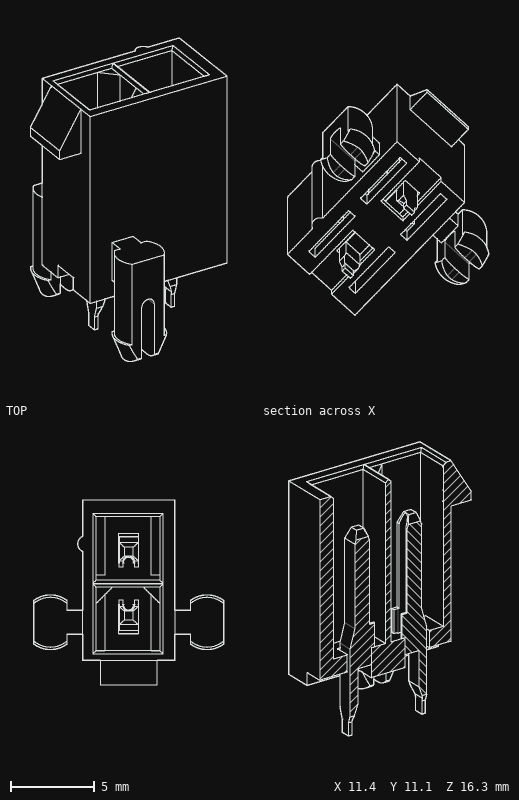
import cadquery as cq
import math


HOUSING_WIDTH = 5.55
HOUSING_FRONT = -4.6
HOUSING_REAR = 5.02
HOUSING_HEIGHT = 12.81
FLOOR_TOP = 2.0

INTERIOR_X = -0.05
CAVITY_WIDTH = 3.81
CAVITY_END = 4.01
DIVIDER_HALF = 0.21
RIM_BEVEL = 0.2
GUSSET_LEG = 0.98

FLOOR_WIDTH = 2.77
SLOT_NEAR = 0.52
NOTCH_WIDTH = 1.8
NOTCH_HEIGHT = 0.85
HOLE_X = -0.02
HOLE_WIDTH = 1.17
HOLE_NEAR = 1.24
HOLE_FAR = 3.0
TONGUE_BOTTOM = 1.3
TONGUE_RADIUS = 0.3

RIB_Y = 2.38
RIB_WIDTH = 0.9
RIB_HEIGHT = 0.3
LATCH_WIDTH = 3.39
LATCH_REACH = 1.48
LATCH_BOTTOM = 9.78
LATCH_NOSE_TOP = 10.38

PEG_X = 4.7
PEG_Y = -2.31
PEG_TOP = 3.73
PEG_BOTTOM = -3.26
PEG_RADIUS = 1.5
PEG_THICKNESS = 2.0
ARM_DEPTH = 1.47
ARM_BOTTOM = 1.12
BARB_TOP = -1.78
BARB_RADIUS = 1.65
BARB_TIP_RADIUS = 1.1
BARB_ROUND_START = -2.89
BARB_FLAT = 0.36
PEG_SLOT_WIDTH = 0.88
PEG_SLOT_TOP = 1.01

CONTACT_WIDTH = 1.14
CONTACT_TOP = 9.95
BLADE_NEAR = 1.37
BLADE_FAR = 2.46
LEAD_IN_HEIGHT = 0.77
TIP_SIZE = 0.54
PRONG_NEAR = 1.0
PRONG_TOP = 3.59
JOG_HEIGHT = 1.25
GROOVE_RADIUS = 0.36
GROOVE_Y = 1.29
LEG_NEAR = 2.22
LEG_FAR = 2.82
LEG_BOTTOM = -3.49
LEG_TIP_DEPTH = 0.26
LEG_TIP_WIDTH = 0.67
DEPTH_TAPER_TOP = -1.52
DEPTH_TAPER_BOTTOM = -2.41
WIDTH_TAPER_TOP = -1.89
WIDTH_TAPER_BOTTOM = -2.6


def block(x_range, y_range, z_range):
    """Box between two limits on each axis."""
    sizes = [high - low for low, high in (x_range, y_range, z_range)]
    corner = (x_range[0], y_range[0], z_range[0])
    return cq.Workplane("XY").box(*sizes, centered=False).translate(corner)


def centred(middle, width):
    """Limits of a span of the given width about a middle."""
    return (middle - width / 2, middle + width / 2)


def y_side(near, far, side):
    """Y limits of a span at the given distances from the mid plane."""
    return tuple(sorted((side * near, side * far)))



def cavity(side):
    """Contact cavity with a 45 degree bevel around its mouth."""
    y_range = y_side(DIVIDER_HALF, CAVITY_END, side)
    length = CAVITY_END - DIVIDER_HALF
    well = block(centred(INTERIOR_X, CAVITY_WIDTH), y_range, (FLOOR_TOP, HOUSING_HEIGHT))
    mouth = (
        cq.Workplane("XY", origin=(INTERIOR_X, sum(y_range) / 2, HOUSING_HEIGHT))
        .rect(CAVITY_WIDTH + 2 * RIM_BEVEL, length + 2 * RIM_BEVEL)
        .extrude(-RIM_BEVEL, taper=45)
    )
    return well.union(mouth)


def gusset(side):
    """Triangular corner fill between the divider and a side wall of the front cavity."""
    corner_x = INTERIOR_X + side * CAVITY_WIDTH / 2
    corner_y = -DIVIDER_HALF
    return (
        cq.Workplane("XY")
        .moveTo(corner_x, corner_y)
        .lineTo(corner_x - side * GUSSET_LEG, corner_y)
        .lineTo(corner_x, corner_y - GUSSET_LEG)
        .close()
        .extrude(HOUSING_HEIGHT - RIM_BEVEL)
    )


def side_slots(side):
    """Slots through the floor along both side walls of a cavity."""
    y_range = y_side(SLOT_NEAR, CAVITY_END, side)
    full = block(centred(INTERIOR_X, CAVITY_WIDTH), y_range, (0, FLOOR_TOP))
    return full.cut(block(centred(INTERIOR_X, FLOOR_WIDTH), y_range, (0, FLOOR_TOP)))


def contact_hole(side):
    """Hole through the floor, leaving a round-nosed tongue that enters the contact groove."""
    hole = block(centred(HOLE_X, HOLE_WIDTH), y_side(HOLE_NEAR, HOLE_FAR, side), (0, FLOOR_TOP))
    z_range = (TONGUE_BOTTOM, FLOOR_TOP)
    tongue = block(centred(HOLE_X, 2 * TONGUE_RADIUS), y_side(HOLE_NEAR, GROOVE_Y, side), z_range)
    nose = (
        cq.Workplane("XY", origin=(HOLE_X, side * GROOVE_Y, TONGUE_BOTTOM))
        .circle(TONGUE_RADIUS)
        .extrude(FLOOR_TOP - TONGUE_BOTTOM)
    )
    return hole.cut(tongue.union(nose))


def leg_notch(side):
    """Notch in the bottom edge of an end wall, reaching in around the contact leg."""
    wall = HOUSING_REAR if side > 0 else -HOUSING_FRONT
    return block(centred(INTERIOR_X, NOTCH_WIDTH), y_side(HOLE_NEAR, wall, side), (0, NOTCH_HEIGHT))


def key_rib():
    """Full-height rib on the -X wall, a circular segment in section."""
    wall_x = -HOUSING_WIDTH / 2
    return (
        cq.Workplane("XY")
        .moveTo(wall_x, RIB_Y - RIB_WIDTH / 2)
        .threePointArc((wall_x - RIB_HEIGHT, RIB_Y), (wall_x, RIB_Y + RIB_WIDTH / 2))
        .close()
        .extrude(HOUSING_HEIGHT)
    )


def latch():
    """Ramped catch at the top of the -Y wall."""
    nose_y = HOUSING_FRONT - LATCH_REACH
    profile = [
        (HOUSING_FRONT, LATCH_BOTTOM),
        (nose_y, LATCH_BOTTOM),
        (nose_y, LATCH_NOSE_TOP),
        (HOUSING_FRONT, HOUSING_HEIGHT),
    ]
    return cq.Workplane("YZ").polyline(profile).close().extrude(LATCH_WIDTH / 2, both=True)


def peg_barb():
    """Conical barb whose bottom is rounded off towards the peg's two flat sides."""
    half = PEG_THICKNESS / 2
    flat = BARB_FLAT / 2
    run = half - flat
    rise = BARB_ROUND_START - PEG_BOTTOM
    radius = (run**2 + rise**2) / (2 * rise)
    half_angle = math.asin(run / radius) / 2
    middle_x = flat + radius * math.sin(half_angle)
    middle_z = PEG_BOTTOM + radius * (1 - math.cos(half_angle))
    cone = (
        cq.Workplane("XZ")
        .moveTo(0, BARB_TOP)
        .lineTo(BARB_RADIUS, BARB_TOP)
        .lineTo(BARB_TIP_RADIUS, PEG_BOTTOM)
        .lineTo(0, PEG_BOTTOM)
        .close()
        .revolve(360, (0, 0, 0), (0, 1, 0))
    )
    envelope = (
        cq.Workplane("XZ")
        .moveTo(-half, BARB_TOP)
        .lineTo(-half, BARB_ROUND_START)
        .threePointArc((-middle_x, middle_z), (-flat, PEG_BOTTOM))
        .lineTo(flat, PEG_BOTTOM)
        .threePointArc((middle_x, middle_z), (half, BARB_ROUND_START))
        .lineTo(half, BARB_TOP)
        .close()
        .extrude(BARB_RADIUS, both=True)
    )
    return cone.intersect(envelope)


def board_peg(side):
    """Split, barbed, flat-sided round peg with the arm that joins it to the side wall."""
    shank = cq.Workplane("XY", origin=(0, 0, BARB_TOP)).circle(PEG_RADIUS).extrude(PEG_TOP - BARB_TOP)
    flats = block(centred(0, PEG_THICKNESS), centred(0, 2 * PEG_RADIUS), (BARB_TOP, PEG_TOP))
    slot_radius = PEG_SLOT_WIDTH / 2
    slot_centre_z = PEG_SLOT_TOP - slot_radius
    slot = block(centred(0, PEG_THICKNESS), centred(0, PEG_SLOT_WIDTH), (PEG_BOTTOM, slot_centre_z))
    slot_end = (
        cq.Workplane("YZ", origin=(0, 0, slot_centre_z))
        .circle(slot_radius)
        .extrude(PEG_THICKNESS / 2, both=True)
    )
    peg = shank.intersect(flats).union(peg_barb()).cut(slot).cut(slot_end)
    arm_x = sorted((side * HOUSING_WIDTH / 2, side * PEG_X))
    arm = block(arm_x, centred(PEG_Y, ARM_DEPTH), (ARM_BOTTOM, PEG_TOP))
    return peg.translate((side * PEG_X, PEG_Y, 0)).union(arm)


def make_housing():
    """Shell with its cavities, floor openings, key rib, latch and board pegs."""
    body = block(centred(0, HOUSING_WIDTH), (HOUSING_FRONT, HOUSING_REAR), (0, HOUSING_HEIGHT))
    for side in (-1, 1):
        body = body.cut(cavity(side))
    for side in (-1, 1):
        body = body.union(gusset(side))
    for side in (-1, 1):
        body = body.cut(contact_hole(side)).cut(leg_notch(side)).cut(side_slots(side))
    body = body.union(key_rib()).union(latch())
    for side in (-1, 1):
        body = body.union(board_peg(side))
    return body



def contact_side_profile():
    """Contact seen along X: leg, foot in the floor, prongs on the floor, offset blade."""
    outline = [
        (LEG_FAR, LEG_BOTTOM),
        (LEG_FAR, PRONG_TOP - JOG_HEIGHT),
        (BLADE_FAR, PRONG_TOP),
        (BLADE_FAR, CONTACT_TOP - LEAD_IN_HEIGHT),
        (BLADE_NEAR, CONTACT_TOP - LEAD_IN_HEIGHT),
        (BLADE_NEAR, PRONG_TOP),
        (PRONG_NEAR, PRONG_TOP),
        (PRONG_NEAR, FLOOR_TOP),
        (HOLE_NEAR, FLOOR_TOP),
        (HOLE_NEAR, NOTCH_HEIGHT),
        (LEG_NEAR, NOTCH_HEIGHT),
        (LEG_NEAR, DEPTH_TAPER_TOP),
        (LEG_FAR - LEG_TIP_DEPTH, DEPTH_TAPER_BOTTOM),
        (LEG_FAR - LEG_TIP_DEPTH, LEG_BOTTOM),
    ]
    return cq.Workplane("YZ").polyline(outline).close().extrude(CONTACT_WIDTH / 2, both=True)


def contact_front_profile():
    """Contact seen along Y: constant width, narrowing to the tip of the leg."""
    half = CONTACT_WIDTH / 2
    tip = LEG_TIP_WIDTH / 2
    outline = [
        (-half, CONTACT_TOP),
        (-half, WIDTH_TAPER_TOP),
        (-tip, WIDTH_TAPER_BOTTOM),
        (-tip, LEG_BOTTOM),
        (tip, LEG_BOTTOM),
        (tip, WIDTH_TAPER_BOTTOM),
        (half, WIDTH_TAPER_TOP),
        (half, CONTACT_TOP),
    ]
    return cq.Workplane("XZ").polyline(outline).close().extrude(-LEG_FAR)


def lead_in():
    """Pyramid frustum that ends the blade."""
    blade_y = (BLADE_NEAR + BLADE_FAR) / 2
    return (
        cq.Workplane("XY", origin=(0, blade_y, CONTACT_TOP - LEAD_IN_HEIGHT))
        .rect(CONTACT_WIDTH, BLADE_FAR - BLADE_NEAR)
        .workplane(offset=LEAD_IN_HEIGHT)
        .rect(TIP_SIZE, TIP_SIZE)
        .loft()
    )


def groove():
    """Round-bottomed groove up the inner side, leaving a prong on each side of it."""
    z_range = (TONGUE_BOTTOM, CONTACT_TOP)
    opening = block(centred(0, 2 * GROOVE_RADIUS), (PRONG_NEAR, GROOVE_Y), z_range)
    bottom = (
        cq.Workplane("XY", origin=(0, GROOVE_Y, TONGUE_BOTTOM))
        .circle(GROOVE_RADIUS)
        .extrude(CONTACT_TOP - TONGUE_BOTTOM)
    )
    return opening.union(bottom)


def make_contact(side):
    """Contact for the rear (+1) cavity, or turned half a revolution about Z for the front (-1)."""
    contact = contact_side_profile().intersect(contact_front_profile()).union(lead_in()).cut(groove())
    if side < 0:
        contact = contact.rotate((0, 0, 0), (0, 0, 1), 180)
    return contact


housing = make_housing().solids()
contacts = [make_contact(side).solids() for side in (-1, 1)]

result = cq.Compound.makeCompound([housing.val(), *[contact.val() for contact in contacts]])